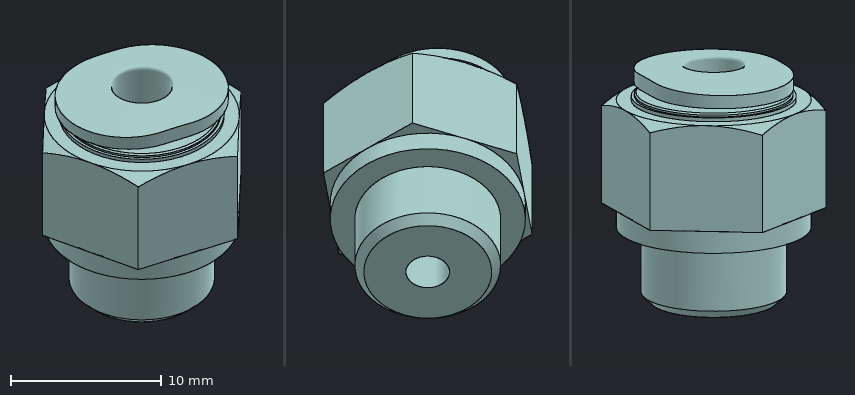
import cadquery as cq
import math


total_height = 16.4
collar_bottom = 5.07
hex_bottom = 6.58
hex_top = 13.89
ring_top = 14.15
cap_top = 14.4
button_bottom = 14.87

thread_diameter = 9.73
thread_chamfer = 0.6
across_flats = 13.0
collar_diameter = across_flats

across_corners = across_flats / math.cos(math.radians(30))
hex_chamfer_angle = 30.0

ring_diameter = 11.0
cap_diameter = 10.6
cap_chamfer = 0.11

neck_diameter = 5.4
neck_fillet = 0.4
button_width = 9.8
button_length = 11.78
button_cone_angle = 10.0

tube_diameter = 4.0
rim_fillet = 0.3
tube_seat = hex_bottom
through_diameter = 2.9


def cylinder(diameter, bottom, top):
    return cq.Workplane("XY").workplane(offset=bottom).circle(diameter / 2).extrude(top - bottom)


def cone_envelope(top_radius, outer_radius, bottom, top, angle):
    """Solid of revolution whose flat top falls away outwards at the given angle."""
    edge_height = top - (outer_radius - top_radius) * math.tan(math.radians(angle))
    profile = [
        (0, bottom),
        (outer_radius, bottom),
        (outer_radius, edge_height),
        (top_radius, top),
        (0, top),
    ]
    return cq.Workplane("XZ").polyline(profile).close().revolve(360, (0, 0), (0, 1))


def make_hexagon():
    prism = (
        cq.Workplane("XY")
        .workplane(offset=hex_bottom)
        .transformed(rotate=(0, 0, 90))
        .polygon(6, across_corners)
        .extrude(hex_top - hex_bottom)
    )
    envelope = cone_envelope(across_flats / 2, across_corners / 2, hex_bottom, hex_top, hex_chamfer_angle)
    return prism.intersect(envelope)


def make_neck():
    """Neck that flares with a concave fillet into the underside of the button."""
    radius = neck_diameter / 2
    fillet_start = button_bottom - neck_fillet
    arc_offset = neck_fillet * (1 - math.sqrt(0.5))
    return (
        cq.Workplane("XZ")
        .moveTo(0, hex_top)
        .lineTo(radius, hex_top)
        .lineTo(radius, fillet_start)
        .threePointArc(
            (radius + arc_offset, button_bottom - arc_offset),
            (radius + neck_fillet, button_bottom),
        )
        .lineTo(0, button_bottom)
        .close()
        .revolve(360, (0, 0), (0, 1))
    )


def make_button():
    oval = (
        cq.Workplane("XY")
        .workplane(offset=button_bottom)
        .slot2D(button_length, button_width, 90)
        .extrude(total_height - button_bottom)
    )
    rim_radius = tube_diameter / 2 + rim_fillet
    envelope = cone_envelope(rim_radius, button_length / 2, button_bottom, total_height, button_cone_angle)
    return oval.intersect(envelope)


def make_bore():
    """Through hole widening to the tube bore, with a rounded mouth."""
    radius = tube_diameter / 2
    arc_offset = rim_fillet * (1 - math.sqrt(0.5))
    through = cylinder(through_diameter, 0, total_height)
    tube_bore = (
        cq.Workplane("XZ")
        .moveTo(0, tube_seat)
        .lineTo(radius, tube_seat)
        .lineTo(radius, total_height - rim_fillet)
        .threePointArc(
            (radius + arc_offset, total_height - arc_offset),
            (radius + rim_fillet, total_height),
        )
        .lineTo(0, total_height)
        .close()
        .revolve(360, (0, 0), (0, 1))
    )
    return through.union(tube_bore)


thread = cylinder(thread_diameter, 0, collar_bottom).faces("<Z").chamfer(thread_chamfer)
collar = cylinder(collar_diameter, collar_bottom, hex_bottom)
ring = cylinder(ring_diameter, hex_top, ring_top)
cap = cylinder(cap_diameter, ring_top, cap_top).faces(">Z").chamfer(cap_chamfer)

body = thread.union(collar).union(make_hexagon()).union(ring).union(cap)
result = body.union(make_neck()).union(make_button()).cut(make_bore())